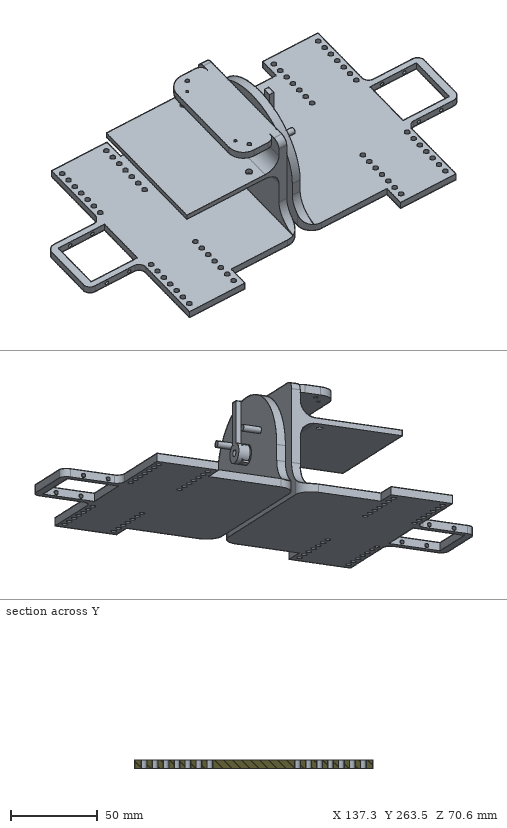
import cadquery as cq


LENGTH = 263.5
END_Y = LENGTH / 2
PLATE_THICKNESS = 5.0
PLATE_WIDTH = 110.2
PLATE_CORNER_RADIUS = 10.0
WING_WIDTH = 137.3
WING_INNER_Y = 55.0
WING_OUTER_Y = 94.4

HANDLE_WIDTH = 40.5
HANDLE_OPENING = 32.7
HANDLE_END_BAR = 5.0
HANDLE_ARC_RADIUS = 5.0
HANDLE_ROOT_WIDTH = 5.0
HANDLE_ROOT_LENGTH = 4.2
HANDLE_HOLE_DIAMETER = 2.5
HANDLE_HOLE_Z = 2.0
HANDLE_HOLE_YS = (102.5, 118.4)

WING_HOLE_DIAMETER = 3.2
WING_HOLE_PITCH = 6.3
WING_HOLES_PER_ROW = 7
WING_HOLE_OUTER_X = 63.3
WING_HOLE_ROW_YS = (59.3, 90.7)

HEIGHT = 70.6
UPRIGHT_WIDTH = 80.0
UPRIGHT_THICKNESS = 5.5
FOOT_RADIUS = 32.0 / 2
FOOT_TOP_Z = PLATE_THICKNESS + FOOT_RADIUS
REAR_FACE_Y = -1.19
BRACKET_GAP = 4.0
FRONT_FACE_Y = REAR_FACE_Y - BRACKET_GAP
FRONT_UPRIGHT_CORNER_RADIUS = 5.0
REAR_UPRIGHT_BACK_Y = REAR_FACE_Y + UPRIGHT_THICKNESS
FRONT_UPRIGHT_OUTER_Y = FRONT_FACE_Y - UPRIGHT_THICKNESS

SHELF_WIDTH = 72.2
SHELF_END_Y = -36.0
SHELF_THICKNESS = 5.0
SHELF_OUTER_RADIUS = 10.5
SHELF_ROOT_RADIUS = 5.0
SHELF_LARGE_HOLE_DIAMETER = 2.5
SHELF_LARGE_HOLE_X = 30.8
SHELF_LARGE_HOLE_Y = -25.0
SHELF_SMALL_HOLE_DIAMETER = 1.65
SHELF_SMALL_HOLE_X = 24.0
SHELF_SMALL_HOLE_Y = -30.0

LEDGE_END_Y = -76.0
LEDGE_TOP_Z = 50.0
LEDGE_THICKNESS = 3.5
LEDGE_FILLET_RADIUS = 9.8
LEDGE_HOLE_DIAMETER = 4.0
LEDGE_HOLE_X = 32.7
LEDGE_HOLE_Y = -26.5

PIVOT_Z = 35.5
SHAFT_DIAMETER = 12.0
TENON_WIDTH = 5.0
TENON_END_Y = 8.0
SCREW_HOLE_DIAMETER = 4.0

POINTER_GAP = 0.8
POINTER_START_Y = REAR_UPRIGHT_BACK_Y + POINTER_GAP
POINTER_END_Y = 12.5
POINTER_SLOT_WIDTH = 7.6
POINTER_ARM_WIDTH = 5.0
POINTER_ARM_THICKNESS = 3.2
POINTER_ARM_TOP_Z = 66.7
POINTER_ARM_BACK_Y = POINTER_END_Y - POINTER_ARM_THICKNESS

STOP_PIN_DIAMETER = 4.0
STOP_PIN_X = 17.5
STOP_PIN_Z = 45.5
STOP_PIN_END_Y = 15.5


def block(x_span, y_span, z_span):
    """Box between two limits on each axis."""
    size = [span[1] - span[0] for span in (x_span, y_span, z_span)]
    corner = (x_span[0], y_span[0], z_span[0])
    return cq.Workplane("XY").box(*size, centered=False).translate(corner)


def centered_block(width, y_span, z_span):
    """Box centered on X = 0."""
    return block((-width / 2, width / 2), y_span, z_span)


def y_cylinder(diameter, x, z, y_start, y_end):
    """Cylinder parallel to Y."""
    plane = cq.Workplane("XZ", origin=(x, y_start, z))
    return plane.circle(diameter / 2).extrude(y_start - y_end)


def extrude_upright(profile):
    """Extrude an XZ outline toward +Y through the thickness of an upright."""
    return profile.extrude(-UPRIGHT_THICKNESS)


def plate_core(face_y, z_top):
    """Body of a base plate on the +Y side, with its two pivot-side corners rounded."""
    core = centered_block(PLATE_WIDTH, (face_y, WING_OUTER_Y), (0, z_top))
    return core.edges("|Z and <Y").fillet(PLATE_CORNER_RADIUS)


def handle():
    """Strap handle beyond the wings, with arcs at its roots and end corners, before its opening is cut."""
    side_x = HANDLE_WIDTH / 2
    half_outline = (
        cq.Workplane("XY")
        .moveTo(0, WING_OUTER_Y)
        .lineTo(side_x + HANDLE_ROOT_WIDTH, WING_OUTER_Y)
        .radiusArc((side_x, WING_OUTER_Y + HANDLE_ROOT_LENGTH), HANDLE_ARC_RADIUS)
        .lineTo(side_x, END_Y - HANDLE_END_BAR)
        .radiusArc((HANDLE_OPENING / 2, END_Y), -HANDLE_ARC_RADIUS)
        .lineTo(0, END_Y)
    )
    return half_outline.mirrorY().extrude(PLATE_THICKNESS)


def wing_hole_points():
    points = []
    for side in (-1, 1):
        for index in range(WING_HOLES_PER_ROW):
            x = side * (WING_HOLE_OUTER_X - index * WING_HOLE_PITCH)
            points += [(x, y) for y in WING_HOLE_ROW_YS]
    return points


def base_plate(face_y):
    """Base plate on the +Y side, from its pivot-side face to the end of the handle."""
    wings = centered_block(WING_WIDTH, (WING_INNER_Y, WING_OUTER_Y), (0, PLATE_THICKNESS))
    plate = plate_core(face_y, PLATE_THICKNESS).union(wings).union(handle())

    opening_end = END_Y - HANDLE_END_BAR
    opening_span = (opening_end - HANDLE_OPENING, opening_end)
    plate = plate.cut(centered_block(HANDLE_OPENING, opening_span, (0, PLATE_THICKNESS)))

    wing_holes = cq.Workplane("XY").pushPoints(wing_hole_points())
    plate = plate.cut(wing_holes.circle(WING_HOLE_DIAMETER / 2).extrude(PLATE_THICKNESS))

    handle_points = [(y, HANDLE_HOLE_Z) for y in HANDLE_HOLE_YS]
    handle_holes = cq.Workplane("YZ").pushPoints(handle_points).circle(HANDLE_HOLE_DIAMETER / 2)
    return plate.cut(handle_holes.extrude(HANDLE_WIDTH, both=True))


def foot(face_y):
    """Flared foot that joins an upright to its plate, trimmed to the rounded plate corners."""
    half_width = UPRIGHT_WIDTH / 2
    outline = centered_block(
        UPRIGHT_WIDTH + 2 * FOOT_RADIUS, (face_y, face_y + UPRIGHT_THICKNESS), (0, FOOT_TOP_Z)
    )
    for side in (-1, 1):
        x = side * (half_width + FOOT_RADIUS)
        hollow = y_cylinder(2 * FOOT_RADIUS, x, FOOT_TOP_Z, face_y, face_y + UPRIGHT_THICKNESS)
        outline = outline.cut(hollow)
    return outline.intersect(plate_core(face_y, FOOT_TOP_Z))


def rear_upright():
    """Upright with a half-round top."""
    half_width = UPRIGHT_WIDTH / 2
    shoulder_z = HEIGHT - half_width
    profile = (
        cq.Workplane("XZ", origin=(0, REAR_FACE_Y, 0))
        .moveTo(-half_width, 0)
        .lineTo(half_width, 0)
        .lineTo(half_width, shoulder_z)
        .threePointArc((0, HEIGHT), (-half_width, shoulder_z))
        .close()
    )
    return extrude_upright(profile)


def front_upright():
    """Upright with a flat top and rounded top corners."""
    upright = centered_block(UPRIGHT_WIDTH, (FRONT_UPRIGHT_OUTER_Y, FRONT_FACE_Y), (0, HEIGHT))
    return upright.edges("|Y and >Z").fillet(FRONT_UPRIGHT_CORNER_RADIUS)


def shelf():
    """Top shelf with rounded corners and two pairs of small holes."""
    plate = centered_block(
        SHELF_WIDTH, (SHELF_END_Y, FRONT_UPRIGHT_OUTER_Y), (HEIGHT - SHELF_THICKNESS, HEIGHT)
    )
    plate = plate.edges("|Z and <Y").fillet(SHELF_OUTER_RADIUS)
    plate = plate.edges("|Z and >Y").fillet(SHELF_ROOT_RADIUS)
    hole_pairs = (
        (SHELF_LARGE_HOLE_DIAMETER, SHELF_LARGE_HOLE_X, SHELF_LARGE_HOLE_Y),
        (SHELF_SMALL_HOLE_DIAMETER, SHELF_SMALL_HOLE_X, SHELF_SMALL_HOLE_Y),
    )
    for diameter, x, y in hole_pairs:
        holes = cq.Workplane("XY").pushPoints([(-x, y), (x, y)]).circle(diameter / 2)
        plate = plate.cut(holes.extrude(HEIGHT))
    return plate


def ledge():
    """Thin ledge that blends into the upright with a fillet above and below."""
    y_root = FRONT_UPRIGHT_OUTER_Y
    y_tangent = y_root - LEDGE_FILLET_RADIUS
    bottom_z = LEDGE_TOP_Z - LEDGE_THICKNESS
    fillet_top_z = LEDGE_TOP_Z + LEDGE_FILLET_RADIUS
    fillet_bottom_z = bottom_z - LEDGE_FILLET_RADIUS
    profile = (
        cq.Workplane("YZ")
        .moveTo(y_root, fillet_bottom_z)
        .radiusArc((y_tangent, bottom_z), -LEDGE_FILLET_RADIUS)
        .lineTo(LEDGE_END_Y, bottom_z)
        .lineTo(LEDGE_END_Y, LEDGE_TOP_Z)
        .lineTo(y_tangent, LEDGE_TOP_Z)
        .radiusArc((y_root, fillet_top_z), -LEDGE_FILLET_RADIUS)
        .close()
    )
    plate = profile.extrude(UPRIGHT_WIDTH / 2, both=True)
    points = [(-LEDGE_HOLE_X, LEDGE_HOLE_Y), (LEDGE_HOLE_X, LEDGE_HOLE_Y)]
    holes = cq.Workplane("XY").pushPoints(points).circle(LEDGE_HOLE_DIAMETER / 2)
    return plate.cut(holes.extrude(HEIGHT))


def shaft():
    """Pivot shaft through the rear upright, ending in a flat-sided tenon."""
    rod = y_cylinder(SHAFT_DIAMETER, 0, PIVOT_Z, FRONT_FACE_Y, REAR_UPRIGHT_BACK_Y)
    tenon = y_cylinder(SHAFT_DIAMETER, 0, PIVOT_Z, REAR_UPRIGHT_BACK_Y, TENON_END_Y)
    flats = centered_block(TENON_WIDTH, (REAR_UPRIGHT_BACK_Y, TENON_END_Y), (0, HEIGHT))
    return rod.union(tenon.intersect(flats))


def screw_hole():
    """Hole along the pivot axis through the front upright, the shaft and the pointer."""
    start_y = FRONT_UPRIGHT_OUTER_Y - LEDGE_FILLET_RADIUS
    return y_cylinder(SCREW_HOLE_DIAMETER, 0, PIVOT_Z, start_y, POINTER_END_Y)


def make_rear_bracket():
    bracket = base_plate(REAR_FACE_Y).union(foot(REAR_FACE_Y)).union(rear_upright())
    for side in (-1, 1):
        pin = y_cylinder(
            STOP_PIN_DIAMETER, side * STOP_PIN_X, STOP_PIN_Z, REAR_UPRIGHT_BACK_Y, STOP_PIN_END_Y
        )
        bracket = bracket.union(pin)
    return bracket.cut(y_cylinder(SHAFT_DIAMETER, 0, PIVOT_Z, REAR_FACE_Y, REAR_UPRIGHT_BACK_Y))


def make_front_bracket():
    face_distance = -FRONT_FACE_Y
    bracket = base_plate(face_distance).union(foot(face_distance)).mirror("XZ")
    for feature in (front_upright(), shelf(), ledge(), shaft()):
        bracket = bracket.union(feature)
    return bracket.cut(screw_hole())


def make_pointer():
    """Hub slotted over the shaft tenon, with a flat arm pointing up."""
    hub = y_cylinder(SHAFT_DIAMETER, 0, PIVOT_Z, POINTER_START_Y, POINTER_END_Y)
    slot = centered_block(POINTER_SLOT_WIDTH, (POINTER_START_Y, POINTER_ARM_BACK_Y), (0, HEIGHT))
    arm = centered_block(
        POINTER_ARM_WIDTH, (POINTER_ARM_BACK_Y, POINTER_END_Y), (PIVOT_Z, POINTER_ARM_TOP_Z)
    )
    return hub.cut(slot).union(arm).cut(screw_hole())


rear_bracket = make_rear_bracket()
front_bracket = make_front_bracket()
pointer = make_pointer()

result = cq.Compound.makeCompound([rear_bracket.val(), front_bracket.val(), pointer.val()])